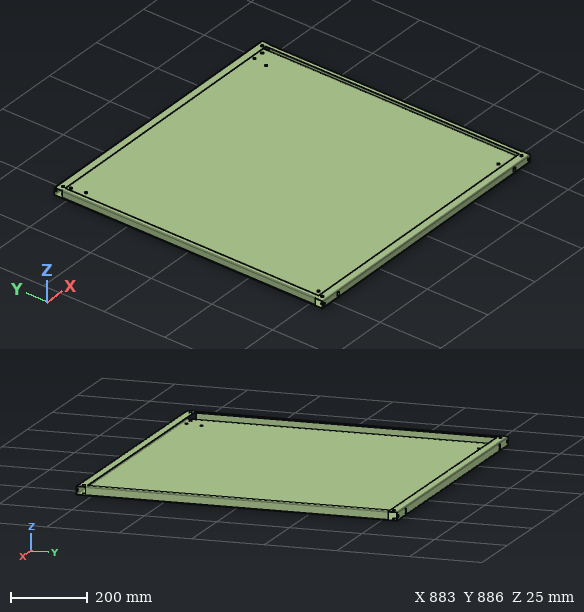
import cadquery as cq

size_x = 883.0
size_y = 886.0
height = 25.0

sheet = 2.2
inner_radius = 0.2
outer_radius = inner_radius + sheet

y_side_flange = 26.0
x_side_flange = 15.0

hole_diameter = 8.0

floor_hole_offset = 383.0
corner_hole_x = 423.5
channel_hole_x = 391.0
channel_hole_y = 427.0

slot_x = 375.0
slot_width = 9.0
slot_height = 14.0
end_hole_x = 435.0


def folded_floor(width, length, flange):
    """Floor running along Y, with a wall and an inward flange folded up on both X sides."""
    outside = cq.Workplane("XY").box(width, length, height)
    outside = outside.edges("|Y").fillet(outer_radius)
    cavity = cq.Workplane("XY").box(width - 2 * sheet, length, height - 2 * sheet)
    cavity = cavity.edges("|Y").fillet(inner_radius)
    opening = cq.Workplane("XY").box(width - 2 * flange, length, height)
    opening = opening.translate((0, 0, sheet))
    return outside.cut(cavity).cut(opening)


def vertical_holes(x, y, bottom, top):
    """Four round cutters mirrored about both centre planes, from bottom to top."""
    return (
        cq.Workplane("XY", origin=(0, 0, bottom))
        .rect(2 * x, 2 * y, forConstruction=True)
        .vertices()
        .circle(hole_diameter / 2)
        .extrude(top - bottom)
    )


def wall_cutters(outline):
    """Extrude an X-Z outline across both Y-side channels, sparing the tray between them."""
    cutters = outline.extrude(size_y / 2, both=True)
    between = cq.Workplane("XY").box(size_x, size_y - 2 * y_side_flange, height)
    return cutters.cut(between)


y_sides = folded_floor(size_y, size_x, y_side_flange).rotate((0, 0, 0), (0, 0, 1), 90)
x_sides = folded_floor(size_x, size_y - 2 * y_side_flange, x_side_flange)
tray = y_sides.union(x_sides)

tray = tray.cut(vertical_holes(corner_hole_x, channel_hole_y, -height / 2, height / 2))
tray = tray.cut(vertical_holes(channel_hole_x, channel_hole_y, -height / 2, 0))
tray = tray.cut(vertical_holes(floor_hole_offset, floor_hole_offset, -height / 2, 0))

slots = (
    cq.Workplane("XZ")
    .pushPoints([(-slot_x, 0), (slot_x, 0)])
    .slot2D(slot_height, slot_width, angle=90)
)
end_holes = (
    cq.Workplane("XZ")
    .pushPoints([(-end_hole_x, 0), (end_hole_x, 0)])
    .circle(hole_diameter / 2)
)
result = tray.cut(wall_cutters(slots)).cut(wall_cutters(end_holes))